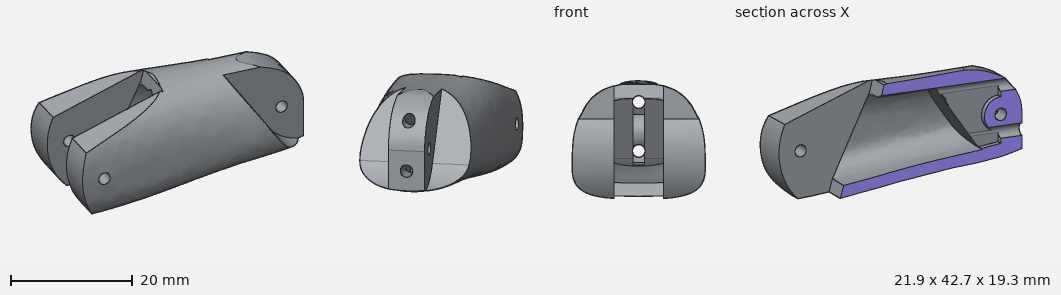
import cadquery as cq
import math

length = 42.7
full_width = 51.25
below = -4.25
above = 25.6

body_stations = [
    (-0.43, 10.97, -0.15, 18.95, 2.7, 3.4),
    (9.4, 10.55, 0.35, 18.95, 2.7, 3.1),
    (20.05, 10.0, 1.7, 18.9, 2.6, 2.7),
    (32.02, 9.4, 2.9, 19.35, 2.1, 2.2),
    (37.58, 9.1, 3.4, 19.45, 2.1, 2.1),
    (43.13, 8.8, 4.6, 19.35, 2.1, 2.0),
]
widest_fraction = 0.3
points_per_quarter = 6

side_wall = 2.2
floor_wall = 2.15
ceiling_wall = 2.48
ceiling_flattening = 0.7

hole_diameter = 2.05
front_hinge = (3.95, 8.1)
rear_hinge = (38.77, 10.85)
cord_hole_heights = (7.8, 15.85)

fork_tip_bottom = (3.55, -0.1)
fork_tip_front = (0, 8.3)
fork_tip_top = (1.05, 13.02)
fork_slope_end = (17.9, 18.95)
fork_slot_width = 8.1
slot_overrun = 4.25
fork_slot_top = (17.3, 18.9)
cavity_front_top = (16.65, 16.5)
cavity_front_bottom = (9.8, 2.55)
fork_slot_bottom = (9.22, 0.43)

tongue_width = 6.05
tongue_curve_start = (length, 11.25)
tongue_curve = [(42.2, 13.55), (40.75, 15.9), (38.77, 17.5), (35.15, 18.87), (32.1, 19.35)]
tongue_curve_tangents = [(0, 1), (-1, 0.1)]
chin_front = (38.4, 3.45)
chin_middle = (41.35, 3.95)
chin_rear = (length, 4.53)
shoulder_radius = 8.2
shoulder_center = (42.8, 12.6)
shoulder_lean = math.radians(35.3)

cord_slot_width = 1.95
cord_slot_front = 28.2
cord_slot_front_floor = (33.3, 5.3)
cord_slot_rear_floor = (rear_hinge[0], 5.95)
pulley_diameter = 6.05


def section_wire(y, half_width, bottom, top, upper_power, lower_power):
    """Closed spline section made of an upper and a lower superellipse half."""
    widest = bottom + widest_fraction * (top - bottom)
    points = []
    for i in range(4 * points_per_quarter):
        angle = math.pi / 2 * (1 + i / points_per_quarter)
        c, s = math.cos(angle), math.sin(angle)
        power = upper_power if s >= 0 else lower_power
        rise = top - widest if s >= 0 else widest - bottom
        x = half_width * math.copysign(abs(c) ** (2 / power), c)
        z = widest + rise * math.copysign(abs(s) ** (2 / power), s)
        points.append(cq.Vector(x, y, z))
    return cq.Wire.assembleEdges([cq.Edge.makeSpline(points, periodic=True)])


def loft_body(side_inset=0, floor_inset=0, ceiling_inset=0, flattening=0):
    """Smooth loft through the body sections, moved inward by the given wall thicknesses."""
    wires = [
        section_wire(y, half - side_inset, low + floor_inset, high - ceiling_inset, upper + flattening, lower)
        for y, half, low, high, upper, lower in body_stations
    ]
    return cq.Workplane(cq.Solid.makeLoft(wires))


def side_profile(start):
    """Start a profile in the YZ plane."""
    return cq.Workplane("YZ").moveTo(*start)


def across(profile, width):
    """Close a YZ profile and extrude it symmetrically about the centre plane."""
    return profile.close().extrude(width).translate((-width / 2, 0, 0))


def cross_cylinder(center, diameter):
    """Cylinder along X through the whole width."""
    return cq.Workplane("YZ").center(*center).circle(diameter / 2).extrude(full_width / 2, both=True)


def side_envelope():
    """Side outline: rounded fork tip, sloped fork top and rounded tongue."""
    profile = (
        side_profile((fork_tip_bottom[0], below))
        .lineTo(chin_front[0], below)
        .lineTo(*chin_front)
        .threePointArc(chin_middle, chin_rear)
        .lineTo(*tongue_curve_start)
        .spline(tongue_curve, tangents=tongue_curve_tangents, includeCurrent=True)
        .lineTo(tongue_curve[-1][0], above)
        .lineTo(fork_slope_end[0], above)
        .lineTo(*fork_slope_end)
        .lineTo(*fork_tip_top)
        .threePointArc(fork_tip_front, fork_tip_bottom)
    )
    return across(profile, full_width)


def rear_profile(radius):
    """Region behind a sloped plane that ends in a tangent arc of the given radius."""
    cy, cz = shoulder_center
    normal = (-math.cos(shoulder_lean), -math.sin(shoulder_lean))
    tangent = (cy + radius * normal[0], cz + radius * normal[1])
    run = length / 2
    upper = (tangent[0] + run * normal[1], tangent[1] - run * normal[0])
    mid_angle = (shoulder_lean + math.pi / 2) / 2
    middle = (cy - radius * math.cos(mid_angle), cz - radius * math.sin(mid_angle))
    return (
        side_profile(upper)
        .lineTo(*tangent)
        .threePointArc(middle, (cy, cz - radius))
        .lineTo(cy + run, cz - radius)
        .lineTo(cy + run, upper[1])
    )


def shoulder_cut():
    """Material removed on both sides of the tongue."""
    tongue = cq.Workplane("XY").box(tongue_width, 3 * length, 3 * length)
    return across(rear_profile(shoulder_radius), full_width).cut(tongue)


def cavity():
    """Hollow between the fork and the rear wall, inset from the outer skin."""
    slope = (cavity_front_top[0] - cavity_front_bottom[0]) / (cavity_front_top[1] - cavity_front_bottom[1])
    front_low = cavity_front_bottom[0] + slope * (below - cavity_front_bottom[1])
    front_high = cavity_front_top[0] + slope * (above - cavity_front_top[1])
    profile = (
        side_profile((front_low, below))
        .lineTo(length, below)
        .lineTo(length, above)
        .lineTo(front_high, above)
    )
    behind_fork = across(profile, full_width)
    rear_wall = across(rear_profile(shoulder_radius + side_wall), full_width)
    hollow = loft_body(side_wall, floor_wall, ceiling_wall, ceiling_flattening)
    return hollow.intersect(behind_fork).cut(rear_wall)


def fork_slot():
    """Gap between the prongs, ending at the open mouth of the cavity."""
    profile = (
        side_profile((-slot_overrun, below))
        .lineTo(fork_slot_bottom[0], below)
        .lineTo(*fork_slot_bottom)
        .lineTo(*cavity_front_bottom)
        .lineTo(*cavity_front_top)
        .lineTo(*fork_slot_top)
        .lineTo(fork_slot_top[0], above)
        .lineTo(-slot_overrun, above)
    )
    return across(profile, fork_slot_width)


def cord_slot():
    """Narrow slot into the rear wall, leaving a rounded pulley around the rear hinge."""
    top = cord_hole_heights[1]
    profile = (
        side_profile(cord_slot_front_floor)
        .lineTo(*cord_slot_rear_floor)
        .lineTo(rear_hinge[0], top)
        .lineTo(cord_slot_front, top)
    )
    return across(profile, cord_slot_width).cut(cross_cylinder(rear_hinge, pulley_diameter))


def cord_hole(height):
    """Lengthwise hole that starts in the open fork and leaves through the tongue."""
    return cq.Workplane("XZ").center(0, height).circle(hole_diameter / 2).extrude(-length)


result = loft_body().intersect(side_envelope())
result = result.cut(shoulder_cut()).cut(cavity()).cut(fork_slot()).cut(cord_slot())
for height in cord_hole_heights:
    result = result.cut(cord_hole(height))
for hinge in (front_hinge, rear_hinge):
    result = result.cut(cross_cylinder(hinge, hole_diameter))